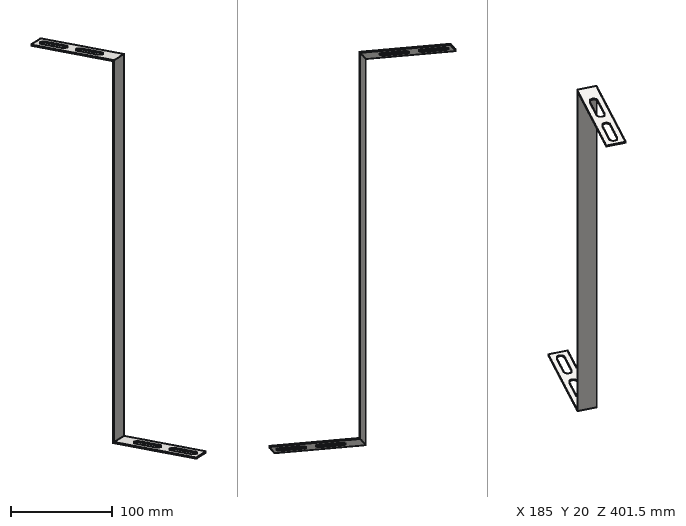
import cadquery as cq

length = 185.0
width = 20.0
height = 401.5
thickness = 1.5

slot_length = 30.0
slot_width = 8.0
slot_pitch = 40.0
slot_edge_gap = 5.0
slots_per_flange = 2

tip_x = length / 2
web_x = thickness / 2
top_z = height / 2


def make_strip():
    """Bent strip with square corners, extruded across its width."""
    profile = [
        (-tip_x, top_z),
        (web_x, top_z),
        (web_x, -top_z + thickness),
        (tip_x, -top_z + thickness),
        (tip_x, -top_z),
        (-web_x, -top_z),
        (-web_x, top_z - thickness),
        (-tip_x, top_z - thickness),
    ]
    return cq.Workplane("XZ").polyline(profile).close().extrude(width / 2, both=True)


def make_flange_slots(side, bottom_z):
    """Slot cutters for the flange pointing along +X (side 1) or -X (side -1)."""
    outer_center = tip_x - slot_edge_gap - slot_length / 2
    centers = [(side * (outer_center - i * slot_pitch), 0) for i in range(slots_per_flange)]
    return (
        cq.Workplane("XY")
        .workplane(offset=bottom_z)
        .pushPoints(centers)
        .slot2D(slot_length, slot_width)
        .extrude(thickness)
    )


top_slots = make_flange_slots(-1, top_z - thickness)
bottom_slots = make_flange_slots(1, -top_z)
result = make_strip().cut(top_slots).cut(bottom_slots)